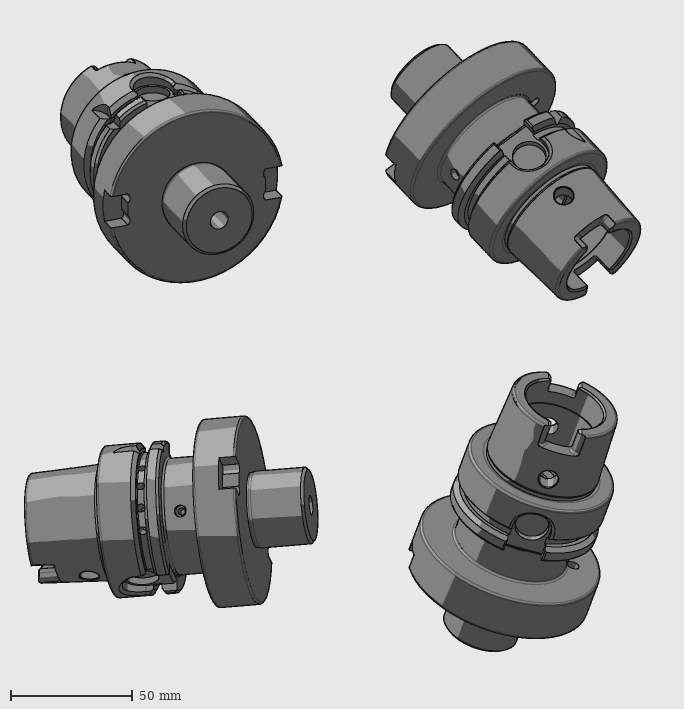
import cadquery as cq
import math

LENGTH = 116.0
AXIS_THROUGH_RADIUS = 4.0
TOLERANCE = 0.01

SHANK_END_ROUNDING = 1.0
SHANK_END_RADIUS = 22.7
SHANK_DIAMETER = 48.4
SHANK_RADIUS = SHANK_DIAMETER / 2
SHANK_LENGTH = 29.9

RELIEF_RADIUS = 23.8
RELIEF_START = 30.7
FACE_RELIEF_RADIUS = 25.3
FACE_RELIEF_DEPTH = 0.3

FLANGE_START = 32.0
FLANGE_DIAMETER = 63.0
FLANGE_RADIUS = FLANGE_DIAMETER / 2
FLANGE_ROUNDING = 1.0
COLLAR_CHAMFER = 1.0
GROOVE_MOUTH_START = 46.5
GROOVE_START = 48.1
GROOVE_END = 51.7
GROOVE_MOUTH_END = 53.2
GROOVE_SHOULDER_RADIUS = 29.2
GROOVE_RADIUS = 27.4
GROOVE_CORNER = 0.5
FLANGE_END = 58.1

BARREL_RADIUS = SHANK_RADIUS
BARREL_FILLET = 0.9

DRIVE_START = 74.0
DRIVE_END = 92.0
DRIVE_RADIUS = 39.0
DRIVE_ROUNDING = 0.9

SPIGOT_RADIUS = 15.9
SPIGOT_CHAMFER = 1.2
NECK_RADIUS = 15.5
NECK_LENGTH = 1.9
NECK_SLOPE = 1.2

BORE_RADIUS = 16.8
BORE_CHAMFER = 0.8
BORE_LAND_LENGTH = 12.1
BORE_CLEARANCE_RADIUS = 17.2
BORE_FLOOR_FILLET = 1.6
BORE_DEPTH = FLANGE_START
COUNTERBORE_RADIUS = 8.9
COUNTERBORE_CHAMFER = 0.6
COUNTERBORE_DEPTH = 5.8
THROUGH_CHAMFER = 0.6

END_SLOT_HALF_WIDTH = 5.9
END_SLOT_FLARE_RADIUS = 3.0
END_SLOT_FLARE_TOP = 20.6
END_SLOT_FLOOR_FILLET = 1.2
END_SLOT_MOUTH_OFFSET = 1.3
END_SLOT_MOUTH_DEPTH = 0.7
UPPER_END_SLOT_DEPTH = 6.0
LOWER_END_SLOT_DEPTH = 9.9

CROSS_HOLE_X = 22.9
CROSS_HOLE_RADIUS = 4.0
CROSS_HOLE_CHAMFER = 0.3

KEYWAY_CENTRE_X = 45.0
KEYWAY_RADIUS = 8.1
KEYWAY_FLOOR = 26.3
KEYWAY_EDGE_CHAMFER = 1.4
COLLAR_EDGE_CHAMFER = 0.8
KEYWAY_RUNOUT = 1.4
KEYWAY_POCKET_RADIUS = 7.0
KEYWAY_POCKET_DEPTH = 3.0

NOTCH_CENTRE_X = 44.8
NOTCH_INSET = 20.1
NOTCH_CUTTER_RADIUS = 7.7

GROOVE_HOLE_RADIUS = 1.6
GROOVE_HOLE_X = (GROOVE_START + GROOVE_END) / 2
GROOVE_HOLE_COUNT = 4
GROOVE_HOLE_PITCH = 20.0
GROOVE_HOLE_FIRST_ANGLE = 25.0
GROOVE_HOLE_DEPTH = 9.3

BARREL_HOLE_X = 65.7
BARREL_HOLE_RADIUS = 2.4
BARREL_HOLE_DEPTH = 2.9
BARREL_HOLE_PILOT_RADIUS = 1.5
BARREL_HOLE_PILOT_DEPTH = 9.3
BARREL_HOLE_ANGLE = -20.0

FACE_HOLE_OFFSET = 27.0
FACE_HOLE_RADIUS = 2.5
FACE_HOLE_DEPTH = 4.6

DRIVE_SLOT_LENGTH = 7.0
DRIVE_SLOT_WIDTH = 14.3
DRIVE_SLOT_FLOOR = 30.7
DRIVE_SLOT_GROOVE_WIDTH = 4.2
DRIVE_SLOT_GROOVE_DEPTH = 0.9


def revolve_about_x(points):
    """Solid of revolution about X from (x, radius) points."""
    return cq.Workplane("XY").polyline(points).close().revolve(360, (0, 0, 0), (1, 0, 0))


def radial_cylinder(x, angle, radius, inner, outer):
    """Cylinder on a radial line; the angle lifts it from -Y towards +Z."""
    direction = cq.Vector(0, -math.cos(math.radians(angle)), math.sin(math.radians(angle)))
    start = cq.Vector(x, 0, 0) + direction * inner
    return cq.Workplane(cq.Solid.makeCylinder(radius, outer - inner, start, direction))


def half_turn(shape):
    """The same shape turned half a revolution about X."""
    return shape.rotate((0, 0, 0), (1, 0, 0), 180)


def turned_edge(body, x, radius):
    """Circular edges around the X axis at one place and radius."""
    def matches(edge):
        point = edge.positionAt(0)
        return abs(point.x - x) < TOLERANCE and abs(math.hypot(point.y, point.z) - radius) < TOLERANCE
    return body.newObject([edge for edge in body.edges("%CIRCLE").vals() if matches(edge)])


def turned_body():
    """Outer shape of the shank, flanges, barrel and spigot."""
    neck_end = DRIVE_END + NECK_LENGTH
    body = revolve_about_x([
        (0, 0),
        (0, SHANK_END_RADIUS),
        (SHANK_LENGTH, SHANK_RADIUS),
        (RELIEF_START, RELIEF_RADIUS),
        (FLANGE_START + FACE_RELIEF_DEPTH, RELIEF_RADIUS),
        (FLANGE_START, FACE_RELIEF_RADIUS),
        (FLANGE_START, FLANGE_RADIUS),
        (GROOVE_MOUTH_START, FLANGE_RADIUS),
        (GROOVE_START, GROOVE_SHOULDER_RADIUS),
        (GROOVE_START, GROOVE_RADIUS + GROOVE_CORNER),
        (GROOVE_START + GROOVE_CORNER, GROOVE_RADIUS),
        (GROOVE_END, GROOVE_RADIUS),
        (GROOVE_END, GROOVE_SHOULDER_RADIUS),
        (GROOVE_MOUTH_END, FLANGE_RADIUS),
        (FLANGE_END - COLLAR_CHAMFER, FLANGE_RADIUS),
        (FLANGE_END, FLANGE_RADIUS - COLLAR_CHAMFER),
        (FLANGE_END, BARREL_RADIUS),
        (DRIVE_START, BARREL_RADIUS),
        (DRIVE_START, DRIVE_RADIUS),
        (DRIVE_END, DRIVE_RADIUS),
        (DRIVE_END, NECK_RADIUS),
        (neck_end - NECK_SLOPE, NECK_RADIUS),
        (neck_end, SPIGOT_RADIUS),
        (LENGTH - SPIGOT_CHAMFER, SPIGOT_RADIUS),
        (LENGTH, SPIGOT_RADIUS - SPIGOT_CHAMFER),
        (LENGTH, 0),
    ])
    for x, radius, rounding in (
        (0, SHANK_END_RADIUS, SHANK_END_ROUNDING),
        (FLANGE_START, FLANGE_RADIUS, FLANGE_ROUNDING),
        (FLANGE_END, BARREL_RADIUS, BARREL_FILLET),
        (DRIVE_START, BARREL_RADIUS, BARREL_FILLET),
        (DRIVE_START, DRIVE_RADIUS, DRIVE_ROUNDING),
        (DRIVE_END, DRIVE_RADIUS, DRIVE_ROUNDING),
    ):
        body = turned_edge(body, x, radius).fillet(rounding)
    return body


def bore():
    """Stepped cavity on the axis, from the shank end to the spigot end."""
    counterbore_end = BORE_DEPTH + COUNTERBORE_DEPTH
    cavity = revolve_about_x([
        (0, 0),
        (0, BORE_RADIUS + BORE_CHAMFER),
        (BORE_CHAMFER, BORE_RADIUS),
        (BORE_LAND_LENGTH, BORE_RADIUS),
        (BORE_LAND_LENGTH, BORE_CLEARANCE_RADIUS),
        (BORE_DEPTH, BORE_CLEARANCE_RADIUS),
        (BORE_DEPTH, COUNTERBORE_RADIUS + COUNTERBORE_CHAMFER),
        (BORE_DEPTH + COUNTERBORE_CHAMFER, COUNTERBORE_RADIUS),
        (counterbore_end, COUNTERBORE_RADIUS),
        (counterbore_end, AXIS_THROUGH_RADIUS + THROUGH_CHAMFER),
        (counterbore_end + THROUGH_CHAMFER, AXIS_THROUGH_RADIUS),
        (LENGTH, AXIS_THROUGH_RADIUS),
        (LENGTH, 0),
    ])
    return turned_edge(cavity, BORE_DEPTH, BORE_CLEARANCE_RADIUS).fillet(BORE_FLOOR_FILLET)


def end_slot(depth):
    """Driving slot open to the end face, flared outwards and chamfered at its mouth."""
    half_width = END_SLOT_HALF_WIDTH
    radius = END_SLOT_FLARE_RADIUS
    arc_y = half_width + radius
    arc_z = END_SLOT_FLARE_TOP - radius
    mid_y = arc_y - radius * math.sqrt(0.5)
    mid_z = arc_z + radius * math.sqrt(0.5)
    slot = (
        cq.Workplane("YZ")
        .moveTo(-half_width, 0)
        .lineTo(-half_width, arc_z)
        .threePointArc((-mid_y, mid_z), (-arc_y, END_SLOT_FLARE_TOP))
        .lineTo(-arc_y, SHANK_RADIUS)
        .lineTo(arc_y, SHANK_RADIUS)
        .lineTo(arc_y, END_SLOT_FLARE_TOP)
        .threePointArc((mid_y, mid_z), (half_width, arc_z))
        .lineTo(half_width, 0)
        .close()
        .extrude(depth)
        .faces(">X").edges()
        .fillet(END_SLOT_FLOOR_FILLET)
    )
    mouth_half_width = half_width + END_SLOT_MOUTH_OFFSET
    mouth = (
        cq.Workplane("XY")
        .polyline([
            (0, -mouth_half_width),
            (END_SLOT_MOUTH_DEPTH, -half_width),
            (END_SLOT_MOUTH_DEPTH, half_width),
            (0, mouth_half_width),
        ])
        .close()
        .extrude(END_SLOT_FLARE_TOP)
    )
    return slot.union(mouth)


def drill_cross_hole(body):
    """Hole through both sides of the shank wall with chamfered outer rims."""
    drill = cq.Solid.makeCylinder(
        CROSS_HOLE_RADIUS, 2 * SHANK_RADIUS, cq.Vector(CROSS_HOLE_X, 0, -SHANK_RADIUS))
    body = body.cut(cq.Workplane(drill))

    def on_outer_rim(edge):
        centre = edge.BoundingBox().center
        return abs(centre.x - CROSS_HOLE_X) < CROSS_HOLE_RADIUS and abs(centre.z) > SHANK_END_RADIUS
    rims = [edge for edge in body.edges().vals() if on_outer_rim(edge)]
    return body.newObject(rims).chamfer(CROSS_HOLE_CHAMFER)


def keyway():
    """Round-ended keyway on the +Z side, running out through the collar with a sloped floor end."""
    height = FLANGE_RADIUS - KEYWAY_FLOOR
    floor_plane = cq.Workplane("XY", origin=(KEYWAY_CENTRE_X, 0, KEYWAY_FLOOR))
    run = FLANGE_END - KEYWAY_CENTRE_X
    round_end = floor_plane.circle(KEYWAY_RADIUS).extrude(height)
    straight = floor_plane.center(run / 2, 0).rect(run, 2 * KEYWAY_RADIUS).extrude(height)
    runout = (
        cq.Workplane("XZ", origin=(0, KEYWAY_RADIUS, 0))
        .moveTo(FLANGE_END - KEYWAY_RUNOUT, KEYWAY_FLOOR)
        .lineTo(FLANGE_END, KEYWAY_FLOOR)
        .lineTo(FLANGE_END, KEYWAY_FLOOR - KEYWAY_RUNOUT)
        .close()
        .extrude(2 * KEYWAY_RADIUS)
    )
    return round_end.union(straight).union(runout)


def keyway_pocket():
    """Round blind pocket below the keyway floor."""
    return (
        cq.Workplane("XY", origin=(KEYWAY_CENTRE_X, 0, KEYWAY_FLOOR - KEYWAY_POCKET_DEPTH))
        .circle(KEYWAY_POCKET_RADIUS)
        .extrude(KEYWAY_POCKET_DEPTH)
    )


def orientation_notch():
    """Corner notch with a rounded end, open to -Y and +Z."""
    height = FLANGE_RADIUS - NOTCH_INSET
    cutter_y = -NOTCH_INSET - NOTCH_CUTTER_RADIUS
    floor_plane = cq.Workplane("XY", origin=(0, 0, NOTCH_INSET))
    round_end = floor_plane.center(NOTCH_CENTRE_X, cutter_y).circle(NOTCH_CUTTER_RADIUS).extrude(height)
    straight = (
        floor_plane.center((NOTCH_CENTRE_X + FLANGE_END) / 2, cutter_y)
        .rect(FLANGE_END - NOTCH_CENTRE_X, 2 * NOTCH_CUTTER_RADIUS)
        .extrude(height)
    )
    return round_end.union(straight)


def drive_slot():
    """Slot in the -Y side of the drive flange, with a shallow round groove along each floor corner."""
    half_width = DRIVE_SLOT_WIDTH / 2
    inner = half_width - DRIVE_SLOT_GROOVE_WIDTH
    middle = half_width - DRIVE_SLOT_GROOVE_WIDTH / 2
    groove_y = -DRIVE_SLOT_FLOOR + DRIVE_SLOT_GROOVE_DEPTH
    return (
        cq.Workplane("YZ", origin=(DRIVE_END - DRIVE_SLOT_LENGTH, 0, 0))
        .moveTo(-DRIVE_RADIUS, -half_width)
        .lineTo(-DRIVE_SLOT_FLOOR, -half_width)
        .threePointArc((groove_y, -middle), (-DRIVE_SLOT_FLOOR, -inner))
        .lineTo(-DRIVE_SLOT_FLOOR, inner)
        .threePointArc((groove_y, middle), (-DRIVE_SLOT_FLOOR, half_width))
        .lineTo(-DRIVE_RADIUS, half_width)
        .close()
        .extrude(DRIVE_SLOT_LENGTH)
    )


def keyway_rim(body, start_x, end_x):
    """Edges where the keyway walls meet the flange surface between two X places."""
    def on_rim(edge):
        box = edge.BoundingBox()
        middle = edge.positionAt(0.5)
        radius = math.hypot(middle.y, middle.z)
        inside = start_x < box.xmin and box.xmax < end_x
        narrow = abs(middle.y) < KEYWAY_RADIUS + TOLERANCE
        return inside and narrow and abs(radius - FLANGE_RADIUS) < TOLERANCE
    return body.newObject([edge for edge in body.edges().vals() if on_rim(edge)])


def cut_both_sides(body, cutter):
    """Cut a shape and its copy half a revolution away."""
    return body.cut(cutter).cut(half_turn(cutter))


def cut_keyways(body):
    """Keyways on +Z and -Z with chamfered rims and a pocket in each floor."""
    body = cut_both_sides(body, keyway())
    body = keyway_rim(body, FLANGE_START, GROOVE_START).chamfer(KEYWAY_EDGE_CHAMFER)
    body = keyway_rim(body, GROOVE_END, FLANGE_END).chamfer(COLLAR_EDGE_CHAMFER)
    return cut_both_sides(body, keyway_pocket())


def drill_groove_holes(body):
    """Row of blind radial holes fanned around the -Y side of the V groove."""
    for index in range(GROOVE_HOLE_COUNT):
        angle = GROOVE_HOLE_FIRST_ANGLE - index * GROOVE_HOLE_PITCH
        bottom = GROOVE_RADIUS - GROOVE_HOLE_DEPTH
        body = body.cut(radial_cylinder(GROOVE_HOLE_X, angle, GROOVE_HOLE_RADIUS, bottom, FLANGE_RADIUS))
    return body


def drill_barrel_holes(body):
    """Two opposite stepped blind holes."""
    for radius, depth in (
        (BARREL_HOLE_RADIUS, BARREL_HOLE_DEPTH),
        (BARREL_HOLE_PILOT_RADIUS, BARREL_HOLE_PILOT_DEPTH),
    ):
        bottom = BARREL_RADIUS - depth
        hole = radial_cylinder(BARREL_HOLE_X, BARREL_HOLE_ANGLE, radius, bottom, FLANGE_RADIUS)
        body = cut_both_sides(body, hole)
    return body


def face_hole():
    """Blind hole into the drive flange that grazes the fillet at the foot of the barrel."""
    return (
        cq.Workplane("YZ", origin=(DRIVE_START - BARREL_FILLET, -FACE_HOLE_OFFSET, 0))
        .circle(FACE_HOLE_RADIUS)
        .extrude(BARREL_FILLET + FACE_HOLE_DEPTH)
    )


body = cut_keyways(turned_body())
body = body.cut(orientation_notch())
body = body.cut(bore())
body = body.cut(end_slot(UPPER_END_SLOT_DEPTH))
body = body.cut(half_turn(end_slot(LOWER_END_SLOT_DEPTH)))
body = drill_cross_hole(body)
body = drill_groove_holes(body)
body = drill_barrel_holes(body)
body = cut_both_sides(body, drive_slot())
body = body.cut(face_hole())

result = body